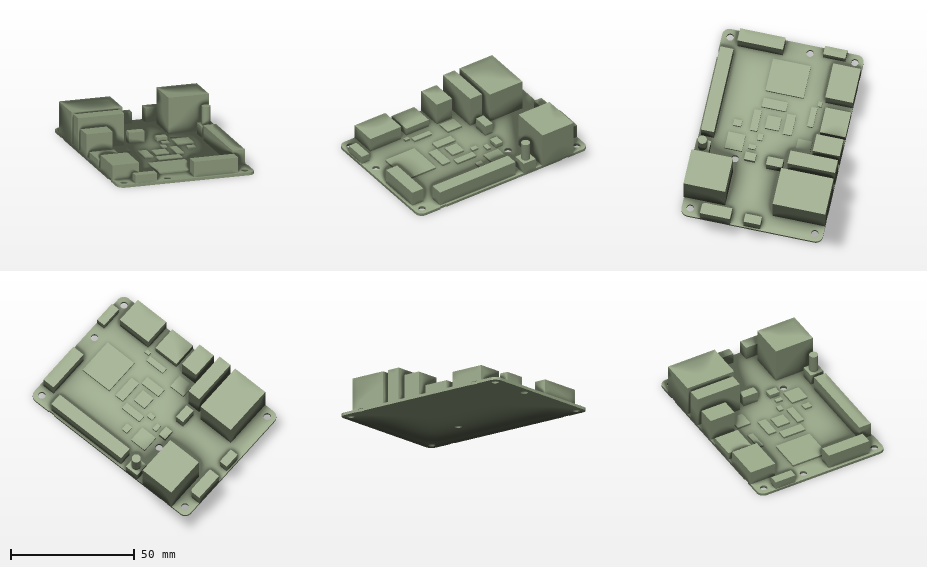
import cadquery as cq

board_length = 83.0
board_width = 58.8
board_thickness = 1.2
corner_radius = 3.0

hole_diameter = 3.0
hole_inset = 3.5
side_hole_y = 22.1
inner_hole_x = 28.3
inner_hole_y = 42.1

notch_length = 3.1
notch_depth = 0.3
notch_inset = 11.6

overall_height = 16.6
rear_overhang = 0.25
rear_connector_front_y = 41.7
rear_connector_width = board_width + rear_overhang - rear_connector_front_y

jack_top = 14.7
stacked_port_top = 10.95
header_top = 7.6
wide_port_top = 7.4
side_connector_top = 7.05
small_block_top = 5.9
flat_port_top = 4.5
edge_switch_top = 4.7

inductor_top = 3.0
chip_top = 2.0

button_size = 6.0
button_x = 26.0
button_base_top = small_block_top
plunger_diameter = 3.65
plunger_top = 13.6

side_connector_x = 0.0
side_connector_y = 38.0
side_connector_length = 4.8
side_connector_width = 12.45
side_connector_radius = 1.3

connectors = [
    (7.6, rear_connector_front_y, 15.2, rear_connector_width, overall_height),
    (7.4, 0.0, 16.0, 21.8, jack_top),
    (25.9, 0.0, 5.7, 19.75, jack_top),
    (34.8, 0.0, 7.5, 11.2, stacked_port_top),
    (45.7, 0.0, 11.0, 10.6, flat_port_top),
    (59.9, 0.0, 15.1, 11.45, wide_port_top),
    (35.35, 52.4, 37.0, 5.4, header_top),
    (76.4, 32.7, 5.4, 18.9, header_top),
    (0.6, 25.6, 3.65, 6.9, small_block_top),
    (26.8, 22.25, 3.65, 6.6, small_block_top),
    (79.0, 7.3, 3.7, 9.2, edge_switch_top),
]

chips = [
    (59.7, 20.5, 14.2, 15.8, chip_top),
    (31.8, 40.0, 7.2, 7.1, chip_top),
    (42.2, 42.7, 2.7, 3.3, chip_top),
    (41.6, 35.85, 9.2, 3.0, chip_top),
    (28.3, 33.9, 3.3, 4.5, inductor_top),
    (33.6, 34.8, 1.9, 3.0, chip_top),
    (38.0, 32.95, 2.8, 2.1, chip_top),
    (43.65, 27.3, 5.7, 5.7, chip_top),
    (52.45, 26.15, 4.0, 10.1, chip_top),
    (42.75, 21.75, 9.0, 3.65, chip_top),
    (35.1, 12.9, 6.9, 6.0, chip_top),
    (48.05, 14.0, 8.6, 2.4, chip_top),
    (57.4, 12.5, 2.15, 1.6, chip_top),
]


def block(x, y, length, width, top):
    """Rectangular body standing on the underside plane of the board."""
    return cq.Workplane("XY").box(length, width, top, centered=False).translate((x, y, 0))


def raised_block(x, y, length, width, top):
    """Rectangular body standing on the upper face of the board."""
    return block(x, y, length, width, top - board_thickness).translate((0, 0, board_thickness))


def make_board():
    """Rounded plate with mounting holes and edge notches."""
    board = block(0, 0, board_length, board_width, board_thickness)
    board = board.edges("|Z").fillet(corner_radius)

    near_x, far_x = hole_inset, board_length - hole_inset
    near_y, far_y = hole_inset, board_width - hole_inset
    hole_centers = [(x, y) for x in (near_x, far_x) for y in (near_y, far_y)]
    hole_centers += [(far_x, side_hole_y), (inner_hole_x, inner_hole_y)]
    holes = cq.Workplane("XY").pushPoints(hole_centers).circle(hole_diameter / 2)
    board = board.cut(holes.extrude(board_thickness))

    for x in (notch_inset, board_length - notch_inset):
        for y in (0, board_width):
            notch = cq.Workplane("XY").center(x, y).rect(notch_length, 2 * notch_depth)
            board = board.cut(notch.extrude(board_thickness))
    return board


def make_button():
    """Square push button with its plunger, flush with the rear edge."""
    base_y = board_width - button_size
    base = raised_block(button_x, base_y, button_size, button_size, button_base_top)
    half = button_size / 2
    plunger = cq.Workplane("XY").workplane(offset=board_thickness).center(button_x + half, base_y + half)
    return base.union(plunger.circle(plunger_diameter / 2).extrude(plunger_top - board_thickness))


def make_side_connector():
    """Left connector with one rounded inner corner."""
    body = raised_block(
        side_connector_x,
        side_connector_y,
        side_connector_length,
        side_connector_width,
        side_connector_top,
    )
    return body.edges("|Z and >X and >Y").fillet(side_connector_radius)


result = make_board().union(make_button()).union(make_side_connector())
for dimensions in connectors + chips:
    result = result.union(raised_block(*dimensions))